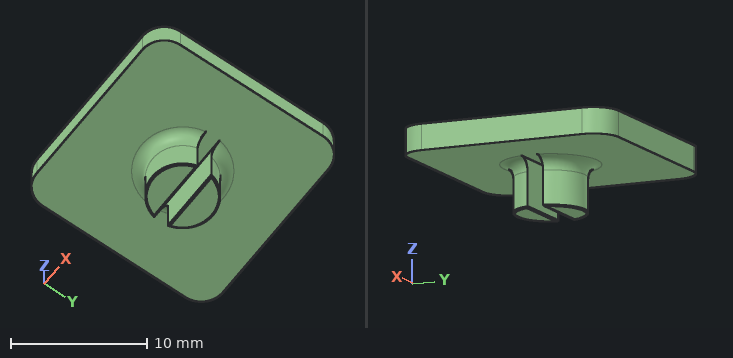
import cadquery as cq

plate_side = 17.0
plate_thickness = 2.0
plate_corner_radius = 2.0

total_height = 5.7
stem_diameter = 5.5
stem_root_fillet = 1.0
stem_tip_chamfer = 0.1
slot_width = 1.25

stem_radius = stem_diameter / 2
flare_radius = stem_radius + stem_root_fillet
stem_length = total_height - plate_thickness


def make_plate():
    """Square plate with rounded corners, its underside on Z = 0."""
    plate = cq.Workplane("XY").rect(plate_side, plate_side).extrude(plate_thickness)
    return plate.edges("|Z").fillet(plate_corner_radius)


def make_round_stem():
    """Stem revolved about Z, with a concave flare where it meets the plate."""
    profile = (
        cq.Workplane("XZ")
        .lineTo(flare_radius, 0)
        .radiusArc((stem_radius, -stem_root_fillet), -stem_root_fillet)
        .lineTo(stem_radius, -stem_length)
        .lineTo(0, -stem_length)
        .close()
    )
    return profile.revolve(360, (0, 0, 0), (0, 1, 0))


def make_slot():
    """Slot along X that splits the stem over its full length."""
    return cq.Workplane("XY").rect(2 * flare_radius, slot_width).extrude(-stem_length)


def make_split_stem():
    """Two stem halves, each chamfered all around its tip."""
    halves = make_round_stem().cut(make_slot())
    return halves.faces("<Z").edges().chamfer(stem_tip_chamfer)


result = make_plate().union(make_split_stem())